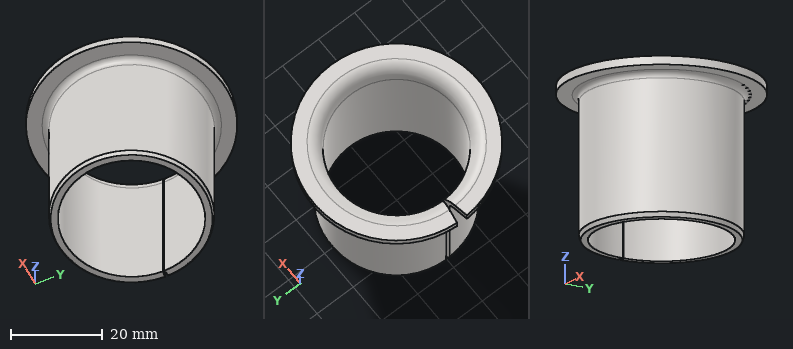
import cadquery as cq
import math

flange_diameter = 46.0
height = 35.0
bore_diameter = 32.0
tube_diameter = 36.0
inner_bend_radius = 3.5
lead_in_height = 1.1
lead_in_angle = 20.0
gap_half_angle = 10.0
gap_inner_width = 0.28

flange_radius = flange_diameter / 2
bore_radius = bore_diameter / 2
outer_radius = tube_diameter / 2
wall = outer_radius - bore_radius
outer_bend_radius = inner_bend_radius - wall
bend_center_radius = bore_radius + inner_bend_radius
bend_center_z = height - inner_bend_radius
lead_in_depth = lead_in_height * math.tan(math.radians(lead_in_angle))
gap_slope = math.tan(math.radians(gap_half_angle))


def bend_midpoint(radius):
    """Middle of a bend arc, halfway between tube wall and flange."""
    offset = radius * math.sqrt(0.5)
    return bend_center_radius - offset, bend_center_z + offset


def flanged_bush():
    """Revolve the wall section: tube, concentric bend arcs and flange.

    The half turn puts the seam of the revolved faces inside the split.
    """
    section = (
        cq.Workplane("XZ")
        .moveTo(bore_radius, 0)
        .lineTo(outer_radius - lead_in_depth, 0)
        .lineTo(outer_radius, lead_in_height)
        .lineTo(outer_radius, bend_center_z)
        .threePointArc(bend_midpoint(outer_bend_radius), (bend_center_radius, height - wall))
        .lineTo(flange_radius, height - wall)
        .lineTo(flange_radius, height)
        .lineTo(bend_center_radius, height)
        .threePointArc(bend_midpoint(inner_bend_radius), (bore_radius, bend_center_z))
        .close()
    )
    bush = section.revolve(360, (0, 0), (0, 1))
    return bush.rotate((0, 0, 0), (0, 0, 1), 180)


def split_gap():
    """Full-height wedge on the -X side, widening outward from the bore."""
    apex_x = -bore_radius + gap_inner_width / 2 / gap_slope
    mouth_x = -flange_diameter
    mouth_half_width = (apex_x - mouth_x) * gap_slope
    return (
        cq.Workplane("XY")
        .polyline([(apex_x, 0), (mouth_x, mouth_half_width), (mouth_x, -mouth_half_width)])
        .close()
        .extrude(height)
    )


result = flanged_bush().cut(split_gap())